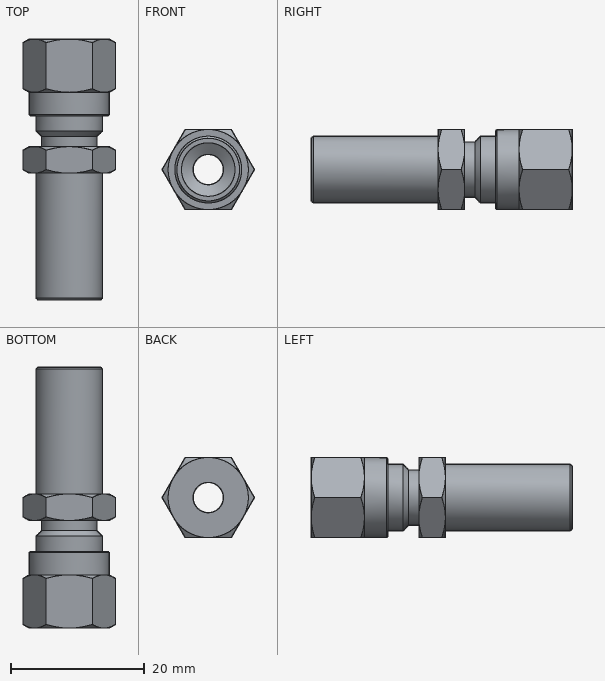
import cadquery as cq
import math

length = 39.1
across_flats = 12.0
across_corners = across_flats / math.cos(math.radians(30))

tube_length = 19.0
body_hex_length = 4.0
neck_length = 1.52
shoulder_cone_length = 0.82
shoulder_length = 2.25
nut_collar_length = 3.5

tube_diameter = 10.0
neck_diameter = 8.33
collar_diameter = across_flats
tube_bore = 8.0
through_bore = 4.5

tube_chamfer = 0.3
collar_chamfer = 0.2
hex_chamfer_angle = 30.0
tube_bore_depth = 18.0
bore_cone_angle = 59.0

tube_end = -length / 2
body_hex_start = tube_end + tube_length
neck_start = body_hex_start + body_hex_length
shoulder_cone_start = neck_start + neck_length
shoulder_start = shoulder_cone_start + shoulder_cone_length
collar_start = shoulder_start + shoulder_length
nut_hex_start = collar_start + nut_collar_length
nut_end = length / 2


def revolve_profile(points):
    """Revolve a closed (radius, y) outline about the Y axis."""
    return cq.Workplane("XY").polyline(points).close().revolve(360, (0, 0, 0), (0, 1, 0))


def cylinder(diameter, start, end):
    radius = diameter / 2
    return revolve_profile([(0, start), (radius, start), (radius, end), (0, end)])


def chamfered_hex(start, end):
    """Hexagon with corners on X, its corners turned down at both ends."""
    hexagon = (
        cq.Workplane("XZ", origin=(0, end, 0))
        .polygon(6, across_corners)
        .extrude(end - start)
    )
    face_radius = across_flats / 2
    corner_radius = across_corners / 2
    drop = (corner_radius - face_radius) * math.tan(math.radians(hex_chamfer_angle))
    envelope = revolve_profile([
        (0, start),
        (face_radius, start),
        (corner_radius, start + drop),
        (corner_radius, end - drop),
        (face_radius, end),
        (0, end),
    ])
    return hexagon.intersect(envelope)


tube = cylinder(tube_diameter, tube_end, body_hex_start).faces("<Y").edges().chamfer(tube_chamfer)

neck = revolve_profile([
    (0, neck_start),
    (neck_diameter / 2, neck_start),
    (neck_diameter / 2, shoulder_cone_start),
    (tube_diameter / 2, shoulder_start),
    (tube_diameter / 2, collar_start),
    (0, collar_start),
])

collar = cylinder(collar_diameter, collar_start, nut_hex_start).faces("<Y").edges().chamfer(collar_chamfer)
nut_hex = chamfered_hex(nut_hex_start, nut_end)
body_hex = chamfered_hex(body_hex_start, neck_start)

bore_cone_start = tube_end + tube_bore_depth
bore_cone_length = (tube_bore - through_bore) / 2 / math.tan(math.radians(bore_cone_angle))
bore = revolve_profile([
    (0, tube_end),
    (tube_bore / 2, tube_end),
    (tube_bore / 2, bore_cone_start),
    (through_bore / 2, bore_cone_start + bore_cone_length),
    (through_bore / 2, nut_end),
    (0, nut_end),
])

result = tube.union(body_hex).union(neck).union(collar).union(nut_hex).cut(bore)